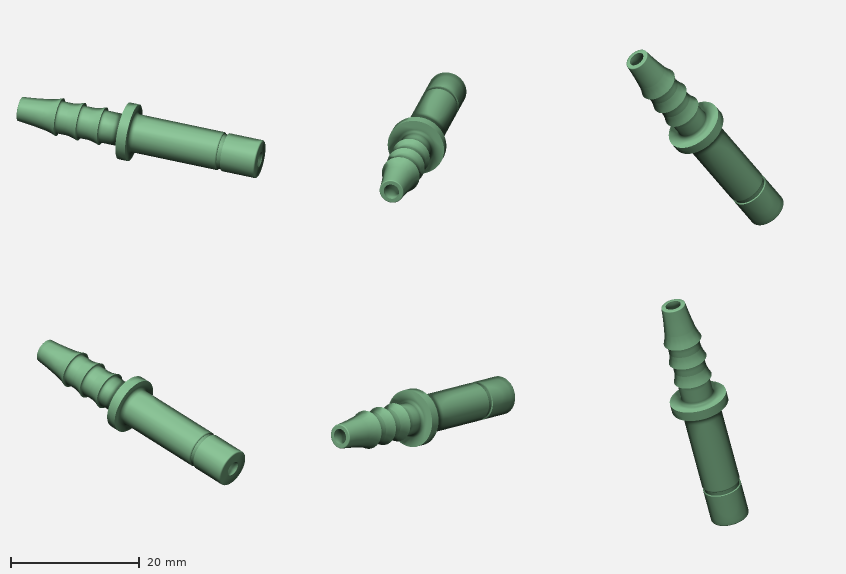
import cadquery as cq
import math

total_length = 39.1
bore_radius = 1.2

neck_radius = 2.55
barb_radius = 3.0
barb_pitch = 3.5
barb_count = 3
barb_length = 1.88
first_barb_x = 6.45
barb_sag = 0.08
barb_root_fillet = 0.25

nose_length = 4.3
nose_end_radius = 2.42
tip_radius = 1.9
tip_fillet = 0.15
nose_sag = 0.05

collar_radius = 4.5
collar_x = 16.95
collar_width = 1.55
collar_fillet = 0.45

stem_radius = barb_radius
groove_depth = 0.27
groove_start = 32.85
groove_end = 33.55
stem_edge_fillet = 0.25

diagonal = math.sqrt(0.5)


def hollow_flank(profile, start, end, sag):
    """Draw a slightly concave arc between two (x, radius) points."""
    run = end[0] - start[0]
    rise = end[1] - start[1]
    length = math.hypot(run, rise)
    middle = (
        (start[0] + end[0]) / 2 + sag * rise / length,
        (start[1] + end[1]) / 2 - sag * run / length,
    )
    return profile.threePointArc(middle, end)


def quarter_arc(profile, center, radius, x_side, radial_side, end):
    """Draw a quarter circle through the given quadrant of its center."""
    middle = (
        center[0] + x_side * radius * diagonal,
        center[1] + radial_side * radius * diagonal,
    )
    return profile.threePointArc(middle, end)


def barb_back(profile, barb_x):
    """Drop from a barb's edge to the neck through a root fillet."""
    fillet_center = (barb_x + barb_root_fillet, neck_radius + barb_root_fillet)
    profile = profile.lineTo(barb_x, fillet_center[1])
    return quarter_arc(profile, fillet_center, barb_root_fillet, -1, -1, (fillet_center[0], neck_radius))


profile = cq.Workplane("XY").moveTo(0, bore_radius).lineTo(0, tip_radius - tip_fillet)
profile = quarter_arc(
    profile, (tip_fillet, tip_radius - tip_fillet), tip_fillet, -1, 1, (tip_fillet, tip_radius)
)
profile = hollow_flank(profile, (tip_fillet, tip_radius), (nose_length, nose_end_radius), nose_sag)

flank_start = (nose_length, nose_end_radius)
for index in range(barb_count):
    barb_x = first_barb_x + index * barb_pitch
    if index > 0:
        flank_start = (barb_x - barb_length, neck_radius)
        profile = profile.lineTo(*flank_start)
    profile = hollow_flank(profile, flank_start, (barb_x, barb_radius), barb_sag)
    profile = barb_back(profile, barb_x)

collar_end = collar_x + collar_width
front_center = (collar_x - collar_fillet, neck_radius + collar_fillet)
rear_center = (collar_end + collar_fillet, stem_radius + collar_fillet)
profile = profile.lineTo(front_center[0], neck_radius)
profile = quarter_arc(profile, front_center, collar_fillet, 1, -1, (collar_x, front_center[1]))
profile = profile.lineTo(collar_x, collar_radius).lineTo(collar_end, collar_radius)
profile = profile.lineTo(collar_end, rear_center[1])
profile = quarter_arc(profile, rear_center, collar_fillet, -1, -1, (rear_center[0], stem_radius))

groove_radius = stem_radius - groove_depth
edge_center_radius = stem_radius - stem_edge_fillet
for edge_x in (groove_start, total_length):
    edge_center = (edge_x - stem_edge_fillet, edge_center_radius)
    profile = profile.lineTo(edge_center[0], stem_radius)
    profile = quarter_arc(profile, edge_center, stem_edge_fillet, 1, 1, (edge_x, edge_center_radius))
    if edge_x == groove_start:
        profile = profile.lineTo(groove_end, groove_radius).lineTo(groove_end, stem_radius)

profile = profile.lineTo(total_length, bore_radius).close()
result = profile.revolve(360, (0, 0, 0), (1, 0, 0))